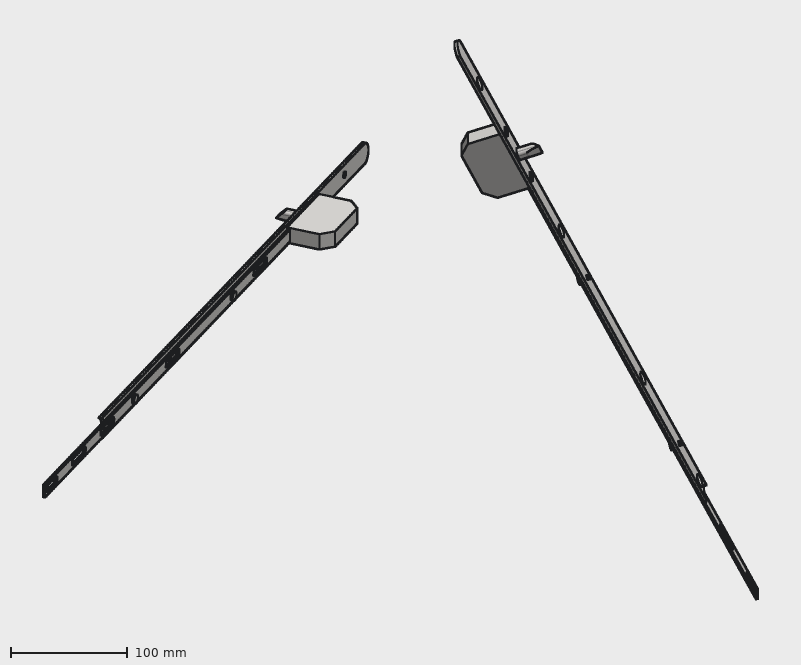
import cadquery as cq


overall_length = 681

plate_width = 20.0
plate_thickness = 3.0
plate_top = 137.0
plate_tip = -420.0
end_rise = 6.0
screw_hole_ys = [87.0, -95.0, -278.0, -404.5]
clearance_slot_ys = screw_hole_ys[1:3]
screw_hole_diameter = 5.5
countersink_diameter = 11.5
countersink_depth = 2.0
latch_hole_diameter = 11.0

housing_length = 67.0
housing_back = 43.5
housing_height = 15.0
housing_chamfer = 10.0

latch_reach = 20.5
latch_width = 9.0
latch_height = 9.5
latch_corner_radius = 3.0
nose_tip = -3.0
underside_length = 12.0

fixing_offset = 28.0
fixing_ys = [fixing_offset, -fixing_offset]
fixing_diameter = 8.0
socket_size = 3.5
socket_depth = 2.0

rod_width = 11.5
rod_thickness = 2.0
rod_gap = 1.0
rod_top = -housing_length / 2
rod_bottom = plate_top - overall_length
slot_width = 7.0
slot_length = 28.5
slot_pitch = 59.0
first_slot_top = -400.0
end_slot_length = 22.5

rivet_ys = [-153.0, -359.0]
rivet_diameter = 4.0
rivet_projection = 2.0
collar_diameter = 8.0
collar_thickness = 2.0

rod_front = plate_thickness + rod_gap
rod_back = rod_front + rod_thickness


def box(x_start, x_end, y_start, y_end, z_start, z_end):
    """Box between two limits on each axis."""
    size = (x_end - x_start, y_end - y_start, z_end - z_start)
    return cq.Workplane().box(*size, centered=False).translate((x_start, y_start, z_start))


def rod_along_x(diameter, x_start, x_end, y=0):
    """Cylinder parallel to X at the given Y, with Z = 0."""
    section = cq.Workplane("YZ", origin=(x_start, y, 0)).circle(diameter / 2)
    return section.extrude(x_end - x_start)


def countersunk_hole(y):
    """Through hole with a conical mouth on the front of the plate."""
    mouth = cq.Vector(0, y, 0)
    inward = cq.Vector(1, 0, 0)
    cone = cq.Solid.makeCone(
        countersink_diameter / 2, screw_hole_diameter / 2, countersink_depth, mouth, inward
    )
    return rod_along_x(screw_hole_diameter, 0, plate_thickness, y).union(cq.Workplane(cone))


def make_faceplate():
    half_width = plate_width / 2
    shoulder = plate_top - end_rise
    plate = (
        cq.Workplane("YZ")
        .moveTo(plate_tip, -half_width)
        .lineTo(shoulder, -half_width)
        .threePointArc((plate_top, 0), (shoulder, half_width))
        .lineTo(plate_tip, half_width)
        .threePointArc((plate_tip + end_rise, 0), (plate_tip, -half_width))
        .close()
        .extrude(plate_thickness)
    )
    for y in screw_hole_ys:
        plate = plate.cut(countersunk_hole(y))
    for y in fixing_ys:
        plate = plate.cut(rod_along_x(fixing_diameter, 0, plate_thickness, y))
    for y in rivet_ys:
        plate = plate.cut(rod_along_x(rivet_diameter, 0, plate_thickness, y))
    return plate.cut(rod_along_x(latch_hole_diameter, 0, plate_thickness))


def make_housing():
    half_length = housing_length / 2
    half_height = housing_height / 2
    block = box(plate_thickness, housing_back, -half_length, half_length, -half_height, half_height)
    return block.edges(">X and |Z").chamfer(housing_chamfer)


def make_latch():
    """Bolt with rounded edges and a nose cut by a 45 degree slope above and a shallow one below."""
    half_width = latch_width / 2
    half_height = latch_height / 2
    bolt = box(-latch_reach, plate_thickness, -half_width, half_width, -half_height, half_height)
    bolt = bolt.edges("|X").fillet(latch_corner_radius)
    slope_rise = half_height - nose_tip
    upper_wedge = (
        cq.Workplane("XZ")
        .moveTo(-latch_reach, nose_tip)
        .lineTo(-latch_reach + slope_rise, half_height)
        .lineTo(-latch_reach, half_height)
        .close()
        .extrude(half_width, both=True)
    )
    lower_wedge = (
        cq.Workplane("XZ")
        .moveTo(-latch_reach, nose_tip)
        .lineTo(-latch_reach + underside_length, -half_height)
        .lineTo(-latch_reach, -half_height)
        .close()
        .extrude(half_width, both=True)
    )
    return bolt.cut(upper_wedge).cut(lower_wedge)


def make_fixing_screw(y):
    """Flush screw head with a hexagon socket."""
    socket = cq.Workplane("YZ", origin=(0, y, 0)).polygon(6, socket_size).extrude(socket_depth)
    return rod_along_x(fixing_diameter, 0, plate_thickness, y).cut(socket)


def rod_slot(top, length):
    """Cutter for a round-ended slot that runs down the rod from the given Y."""
    section = cq.Workplane("YZ", origin=(rod_front, top - length / 2, 0)).slot2D(length, slot_width)
    return section.extrude(rod_thickness)


def make_drive_rod():
    rod = box(rod_front, rod_back, rod_bottom, rod_top, -rod_width / 2, rod_width / 2)
    for hole_y in clearance_slot_ys:
        rod = rod.cut(rod_slot(hole_y + slot_length / 2, slot_length))
    for index, length in enumerate((slot_length, slot_length, end_slot_length)):
        rod = rod.cut(rod_slot(first_slot_top - index * slot_pitch, length))
    for y in rivet_ys:
        rod = rod.cut(rod_along_x(rivet_diameter, rod_front, rod_back, y))
    return rod


def make_rivet(y):
    """Stem through plate and rod, with a collar behind the rod."""
    stem = rod_along_x(rivet_diameter, -rivet_projection, rod_back, y)
    return stem.union(rod_along_x(collar_diameter, rod_back, rod_back + collar_thickness, y))


faceplate = make_faceplate()
housing = make_housing()
latch = make_latch()
drive_rod = make_drive_rod()
fixing_screws = [make_fixing_screw(y) for y in fixing_ys]
rivets = [make_rivet(y) for y in rivet_ys]

bodies = [faceplate, housing, latch, drive_rod, *fixing_screws, *rivets]
result = cq.Compound.makeCompound([body.val() for body in bodies])